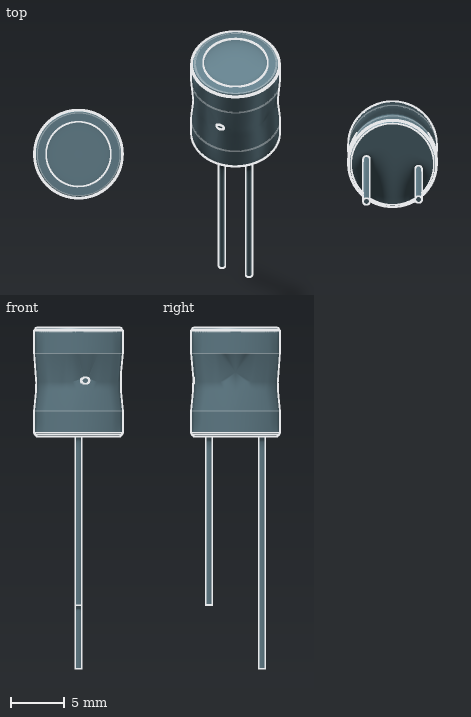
import cadquery as cq
import math


sleeve_radius = 4.2
sleeve_thickness = 0.1
body_height = 10.3
waist_radius = 4.0
waist_bottom = 2.45
waist_top = 7.89
waist_middle = (waist_bottom + waist_top) / 2
shoulder_inset = 0.1
rim_radius = sleeve_radius - shoulder_inset
rim_fillet = 0.2
shoulder_bottom = 10.0
top_opening_radius = 3.05
sleeve_bottom = 0.2
sleeve_taper_height = 0.2

core_radius = sleeve_radius - sleeve_thickness
core_height = body_height - sleeve_thickness
core_waist_radius = waist_radius - sleeve_thickness
core_top_fillet = 0.3
core_chamfer = sleeve_bottom

lead_diameter = 0.65
lead_pitch = 5.0
overall_height = 32.14
long_lead = overall_height - body_height
short_lead = 15.84

dot_diameter = 0.62
dot_offset = 2.3
dot_height = 5.3
dot_azimuth = -45.0


def fillet_middle(radius, top, fillet):
    """Point half-way round an outer top fillet, in the (radius, Z) plane."""
    inset = fillet * (1 - math.sqrt(0.5))
    return (radius - inset, top - inset)


def make_core():
    profile = (
        cq.Workplane("XZ")
        .lineTo(core_radius - core_chamfer, 0)
        .lineTo(core_radius, core_chamfer)
        .lineTo(core_radius, waist_bottom)
        .threePointArc((core_waist_radius, waist_middle), (core_radius, waist_top))
        .lineTo(core_radius, core_height - core_top_fillet)
        .threePointArc(
            fillet_middle(core_radius, core_height, core_top_fillet),
            (core_radius - core_top_fillet, core_height),
        )
        .lineTo(0, core_height)
        .close()
    )
    return profile.revolve(360, (0, 0, 0), (0, 1, 0))


def make_sleeve(core):
    """Skin around the core: a rounded lip over its top, a sloping shoulder and a tapered lower end."""
    outside = (
        cq.Workplane("XZ")
        .moveTo(0, sleeve_bottom)
        .lineTo(core_radius, sleeve_bottom)
        .lineTo(sleeve_radius, sleeve_bottom + sleeve_taper_height)
        .lineTo(sleeve_radius, waist_bottom)
        .threePointArc((waist_radius, waist_middle), (sleeve_radius, waist_top))
        .lineTo(sleeve_radius, shoulder_bottom)
        .lineTo(rim_radius, body_height - rim_fillet)
        .threePointArc(
            fillet_middle(rim_radius, body_height, rim_fillet),
            (rim_radius - rim_fillet, body_height),
        )
        .lineTo(0, body_height)
        .close()
        .revolve(360, (0, 0, 0), (0, 1, 0))
    )
    opening = cq.Workplane("XY").circle(top_opening_radius).extrude(body_height)
    return outside.cut(core).cut(opening)


def make_dot(sleeve):
    """Piece of the sleeve wall inside a round prism along the dot's azimuth."""
    azimuth = math.radians(dot_azimuth)
    outward = cq.Vector(math.cos(azimuth), math.sin(azimuth), 0)
    sideways = cq.Vector(-math.sin(azimuth), math.cos(azimuth), 0)
    centre = sideways * -dot_offset + cq.Vector(0, 0, dot_height)
    plane = cq.Plane(origin=centre, xDir=sideways, normal=outward)
    prism = cq.Workplane(plane).circle(dot_diameter / 2).extrude(sleeve_radius)
    return prism.intersect(sleeve)


def make_lead(y, length):
    return cq.Workplane("XY").center(0, y).circle(lead_diameter / 2).extrude(-length)


core = make_core()
plain_sleeve = make_sleeve(core)
dot = make_dot(plain_sleeve)
sleeve = plain_sleeve.cut(dot)

lead_layout = [(lead_pitch / 2, long_lead), (-lead_pitch / 2, short_lead)]
leads = [make_lead(y, length).val() for y, length in lead_layout]

result = cq.Compound.makeCompound([core.val(), sleeve.val(), dot.val(), *leads])